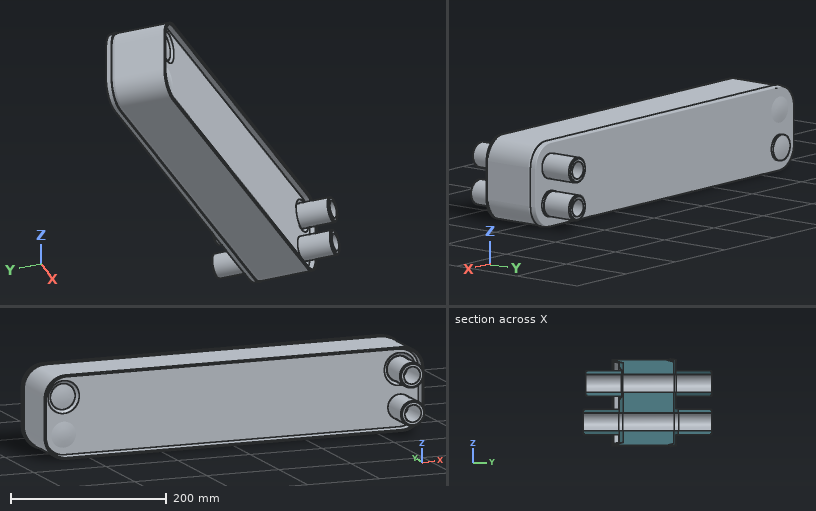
import cadquery as cq
import math


length = 527.5
height = 113.0
depth = 82.5
rear_nozzle_reach = 46.0
front_nozzle_reach = 37.5

wall_taper = 14.0
rear_rim_taper = 9.0
rear_rim_depth = 8.0
rear_floor = 2.5
rear_edge_round = 1.0
pack_inset = 1.0
pack_corner_radius = 30.0
pack_taper_depth = 12.0
front_recess = 8.5
front_floor = 5.5
front_rim_thickness = 1.5
front_rim_width = 2.0
front_wall = 1.0

port_x = 233.0
port_z = 25.0
press_depth = 3.0
press_wide_diameter = 43.0
seat_diameter = 34.5
dome_rise = 2.0
nozzle_diameter = 33.0
bore_diameter = 22.5
tip_chamfer = 1.5

front_floor_y = front_recess - depth
pressed_front_y = front_floor_y + press_depth
pocket_floor_y = front_floor_y + front_floor
pack_front_y = front_rim_thickness - depth


def rounded_slab(inset, start_y, end_y, taper=0.0):
    """Rounded slab from start_y to end_y; the inset from the overall outline is the one at start_y."""
    plane = cq.Plane(origin=(0, start_y, 0), xDir=(1, 0, 0), normal=(0, math.copysign(1, end_y - start_y), 0))
    corner_radius = pack_corner_radius + pack_inset - inset
    outline = cq.Sketch().rect(length - 2 * inset, height - 2 * inset).vertices().fillet(corner_radius)
    return cq.Workplane(plane).placeSketch(outline).extrude(abs(end_y - start_y), taper=taper)


def turned(x, z, profile):
    """Solid turned about the Y-direction axis of a port from (radius, y) points on a closed outline."""
    return profile.close().revolve(360, (0, 0, 0), (0, 1, 0)).translate((x, 0, z))


def cylinder(x, z, diameter, start_y, end_y):
    profile = cq.Workplane("XY").moveTo(0, start_y).lineTo(diameter / 2, start_y)
    return turned(x, z, profile.lineTo(diameter / 2, end_y).lineTo(0, end_y))


def pressed_cone(x, z, base_y):
    """Cone frustum of a pressed-in seat, widest at base_y and narrowing towards the rear."""
    profile = cq.Workplane("XY").moveTo(0, base_y).lineTo(press_wide_diameter / 2, base_y)
    return turned(x, z, profile.lineTo(seat_diameter / 2, base_y + press_depth).lineTo(0, base_y + press_depth))


def dome(x, z, seat_y, outward):
    """Shallow spherical cap that closes a blind port; outward is +1 to the rear, -1 to the front."""
    seat_radius = seat_diameter / 2
    sphere_radius = (seat_radius**2 + dome_rise**2) / (2 * dome_rise)
    half_angle = math.asin(seat_radius / sphere_radius) / 2
    centre_y = seat_y + outward * (dome_rise - sphere_radius)
    arc_middle = (sphere_radius * math.sin(half_angle), centre_y + outward * sphere_radius * math.cos(half_angle))
    profile = cq.Workplane("XY").moveTo(0, seat_y).lineTo(seat_radius, seat_y)
    return turned(x, z, profile.threePointArc(arc_middle, (0, seat_y + outward * dome_rise)))


def drill_ports(body):
    """Cut the bores of both open ports, which run through all plates."""
    for z in (port_z, -port_z):
        body = body.cut(cylinder(port_x, z, bore_diameter, -depth, press_depth))
    return body


def front_dish():
    """Solid shape of the front cover's dish, which also hollows the front of the pack."""
    return rounded_slab(pack_inset + front_rim_width - front_wall, -depth, pocket_floor_y, wall_taper)


def make_pack():
    pack = rounded_slab(pack_inset, -pack_taper_depth, pack_front_y)
    pack = pack.union(rounded_slab(pack_inset, -pack_taper_depth, -rear_floor, wall_taper))
    return drill_ports(pack.cut(front_dish()))


def make_front_cover():
    """Dished plate with its upper seats pressed in and its lower seats level with the floor."""
    cover = rounded_slab(pack_inset, -depth, pack_front_y).union(front_dish())
    cover = cover.cut(rounded_slab(pack_inset + front_rim_width, -depth, front_floor_y, wall_taper))
    for x in (-port_x, port_x):
        cover = cover.cut(pressed_cone(x, port_z, front_floor_y))
    cover = cover.union(dome(-port_x, port_z, pressed_front_y, -1))
    cover = cover.union(dome(-port_x, -port_z, front_floor_y, -1))
    return drill_ports(cover)


def make_rear_cover(pack):
    """Plate with a flared rim around the pack; its lower seats stand out as round bosses."""
    cover = rounded_slab(0, -rear_rim_depth, 0, rear_rim_taper)
    cover = cover.faces(">Y").edges().fillet(rear_edge_round)
    cover = cover.cut(pack)
    for x in (-port_x, port_x):
        cover = cover.union(cylinder(x, -port_z, seat_diameter, -rear_floor, press_depth))
    cover = cover.union(dome(-port_x, port_z, 0, 1))
    cover = cover.union(dome(-port_x, -port_z, press_depth, 1))
    return drill_ports(cover)


def make_nozzle(z, seat_y, tip_y):
    """Pipe from its seat to its tip, with the outer edge of the tip chamfered."""
    outer_radius = nozzle_diameter / 2
    bore_radius = bore_diameter / 2
    chamfer_y = tip_y - math.copysign(tip_chamfer, tip_y - seat_y)
    profile = cq.Workplane("XY").moveTo(bore_radius, seat_y).lineTo(outer_radius, seat_y)
    profile = profile.lineTo(outer_radius, chamfer_y).lineTo(outer_radius - tip_chamfer, tip_y)
    return turned(port_x, z, profile.lineTo(bore_radius, tip_y))


pack = make_pack()
front_cover = make_front_cover()
rear_cover = make_rear_cover(pack)

front_tip_y = -depth - front_nozzle_reach
nozzle_places = [
    (port_z, pressed_front_y, front_tip_y + press_depth),
    (-port_z, front_floor_y, front_tip_y),
    (port_z, 0, rear_nozzle_reach),
    (-port_z, press_depth, rear_nozzle_reach),
]
nozzles = [make_nozzle(z, seat_y, tip_y) for z, seat_y, tip_y in nozzle_places]

result = cq.Compound.makeCompound(
    [pack.val(), front_cover.val(), rear_cover.val(), *[nozzle.val() for nozzle in nozzles]]
)